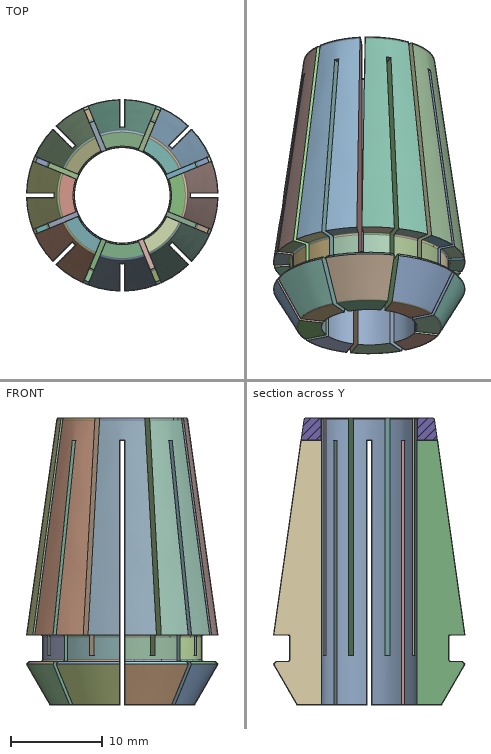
import cadquery as cq
import math

height = 31.5
max_radius = 21.0 / 2
bore_radius = 10.5 / 2

nose_angle = 30.0
nose_top = 4.8
rim_bevel = 0.3
nose_fillet = 0.13

neck_radius = 8.73
neck_fillet = 0.2

taper_angle = 8.0
taper_bottom = 7.65
top_fillet = 0.25
bore_chamfer = 0.15

slot_count = 8
lower_slot_width = 0.5
lower_slot_top = 29.0
upper_slot_width = 0.57
upper_slot_bottom = 5.45

slot_pitch = 360.0 / slot_count
rim_height = nose_top - rim_bevel
nose_bottom_radius = max_radius - rim_height * math.tan(math.radians(nose_angle))
taper_top_radius = max_radius - (height - taper_bottom) * math.tan(math.radians(taper_angle))


def make_body():
    """Revolve the solid profile, round its edges and bore it through."""
    body = (
        cq.Workplane("XZ")
        .lineTo(nose_bottom_radius, 0)
        .lineTo(max_radius, rim_height)
        .lineTo(max_radius - rim_bevel, nose_top)
        .lineTo(neck_radius, nose_top)
        .lineTo(neck_radius, taper_bottom)
        .lineTo(max_radius, taper_bottom)
        .lineTo(taper_top_radius, height)
        .lineTo(0, height)
        .close()
        .revolve(360, (0, 0, 0), (0, 1, 0))
    )
    body = body.faces(">Z").edges().fillet(top_fillet)
    body = body.faces("<Z").edges().fillet(nose_fillet)

    neck_zone = cq.selectors.BoxSelector(
        (-max_radius, -max_radius, nose_top - neck_fillet),
        (max_radius, max_radius, taper_bottom + neck_fillet),
        boundingbox=True,
    )
    smallest_circles = cq.selectors.RadiusNthSelector(0)
    body = body.edges("%CIRCLE").edges(neck_zone).edges(smallest_circles).fillet(neck_fillet)

    bore = cq.Workplane("XY").circle(bore_radius).extrude(height)
    return body.cut(bore).faces(">Z").edges(smallest_circles).chamfer(bore_chamfer)


def slot_cutters(width, bottom, top, start_angle):
    """Evenly spaced slot blades reaching from the axis past the outside."""
    blade = (
        cq.Workplane("XY")
        .box(2 * max_radius, width, top - bottom, centered=(False, True, False))
        .translate((0, 0, bottom))
    )
    cutters = cq.Workplane("XY")
    for index in range(slot_count):
        angle = start_angle + index * slot_pitch
        cutters = cutters.add(blade.rotate((0, 0, 0), (0, 0, 1), angle))
    return cutters.combine()


lower_slots = slot_cutters(lower_slot_width, 0, lower_slot_top, 0)
upper_slots = slot_cutters(upper_slot_width, upper_slot_bottom, height, slot_pitch / 2)

result = make_body().cut(lower_slots).cut(upper_slots)